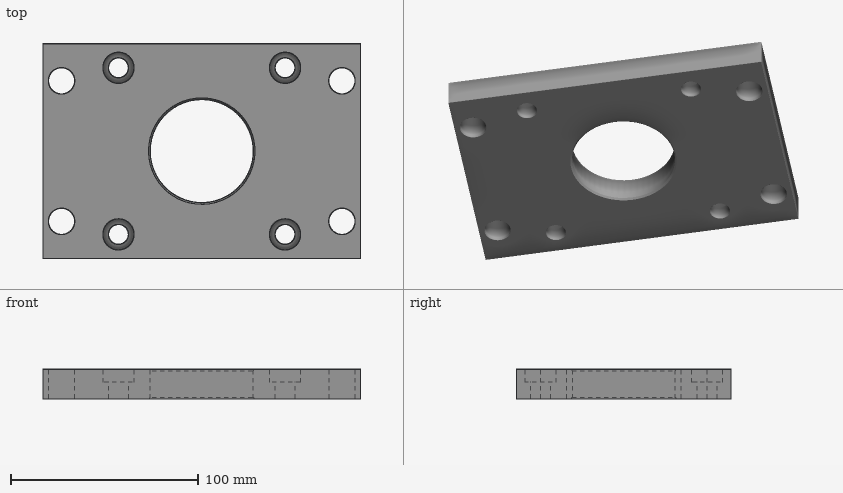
import cadquery as cq

length = 170.0
width = 115.0
thickness = 16.0
edge_chamfer = 0.14

bore_diameter = 55.0
bore_chamfer = 0.94

end_hole_diameter = 14.0
end_hole_x = 75.0
end_hole_y = 37.5

screw_hole_diameter = 10.5
counterbore_diameter = 16.5
counterbore_depth = 7.0
screw_hole_offset = 44.5


def corner_points(x, y):
    """Four points mirrored about both centre planes."""
    return [(sx * x, sy * y) for sx in (-1, 1) for sy in (-1, 1)]


plate = cq.Workplane("XY").box(length, width, thickness)

plate = (
    plate.faces(">Z")
    .workplane(origin=(0, 0, 0))
    .pushPoints(corner_points(end_hole_x, end_hole_y))
    .hole(end_hole_diameter)
)

plate = (
    plate.faces(">Z")
    .workplane(origin=(0, 0, 0))
    .pushPoints(corner_points(screw_hole_offset, screw_hole_offset))
    .cboreHole(screw_hole_diameter, counterbore_diameter, counterbore_depth)
)

rims = plate.faces("<Z or >Z").edges()
corners = plate.faces("<Y or >Y").edges("|Z")
plate = plate.newObject(rims.vals() + corners.vals()).chamfer(edge_chamfer)

plate = plate.faces(">Z").workplane(origin=(0, 0, 0)).hole(bore_diameter)
bore_rims = plate.faces("<Z or >Z").edges(cq.selectors.RadiusNthSelector(-1))
plate = plate.newObject(bore_rims.vals()).chamfer(bore_chamfer)

result = plate